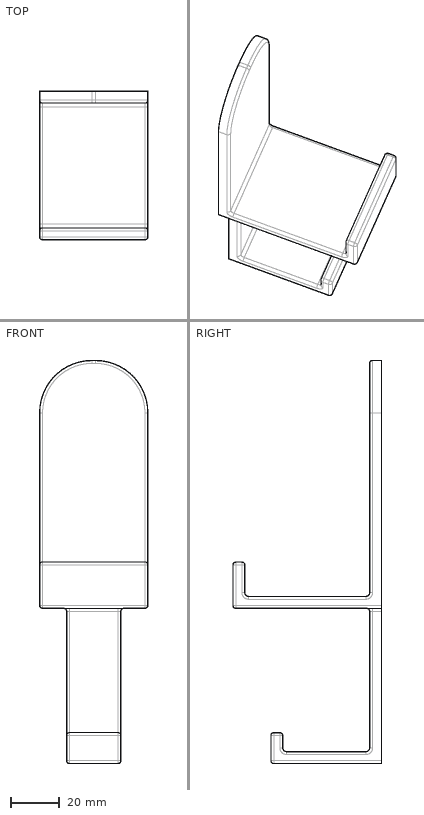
import cadquery as cq

height = 165.1
wall = 5.0
edge_radius = 1.24
inner_corner_radius = 1.5
junction_radius = 1.24

upper_width = 44.4
upper_depth = 61.0
upper_bottom = 63.5
upper_lip_height = 19.0
top_corner_radius = 21.5

lower_width = 22.3
lower_depth = 45.4
lower_bottom = 0.0
lower_lip_height = 12.7
lower_top = upper_bottom + wall / 2


def cross_edges(part, corners):
    """Select the edges along X that pass through the given (y, z) corners."""
    selectors = [cq.selectors.NearestToPointSelector((0, y, z)) for y, z in corners]
    return part.newObject([part.edges("|X").edges(nearest).val() for nearest in selectors])


def sharp_hook(width, depth, bottom, top, lip_height):
    """Back plate, shelf and front lip, centred on X with the back at Y = 0."""
    floor = bottom + wall
    lip_top = bottom + lip_height
    lip_back = wall - depth
    profile = [
        (0, bottom),
        (-depth, bottom),
        (-depth, lip_top),
        (lip_back, lip_top),
        (lip_back, floor),
        (-wall, floor),
        (-wall, top),
        (0, top),
    ]
    hook = cq.Workplane("YZ").polyline(profile).close().extrude(width / 2, both=True)
    inner_corners = [(lip_back, floor), (-wall, floor)]
    return cross_edges(hook, inner_corners).fillet(inner_corner_radius)


def round_edges(hook, depth, bottom, lip_height):
    """Round the side outlines and the lip, leaving the flat back sharp."""
    lip_top = bottom + lip_height
    lip_corners = [(-depth, bottom), (-depth, lip_top), (wall - depth, lip_top)]
    side_edges = hook.faces("|X").edges("not(>Y or >Z)")
    return side_edges.add(cross_edges(hook, lip_corners)).fillet(edge_radius)


upper_hook = sharp_hook(upper_width, upper_depth, upper_bottom, height, upper_lip_height)
upper_hook = upper_hook.edges("|Y and >Z").fillet(top_corner_radius)
upper_hook = round_edges(upper_hook, upper_depth, upper_bottom, upper_lip_height)

lower_hook = sharp_hook(lower_width, lower_depth, lower_bottom, lower_top, lower_lip_height)
lower_hook = round_edges(lower_hook, lower_depth, lower_bottom, lower_lip_height)

margin = 0.2
junction_zone = cq.selectors.BoxSelector(
    (-lower_width / 2 - margin, -wall - margin, upper_bottom - margin),
    (lower_width / 2 + margin, -margin, upper_bottom + margin),
)
bracket = upper_hook.union(lower_hook)
result = bracket.edges(junction_zone).fillet(junction_radius)